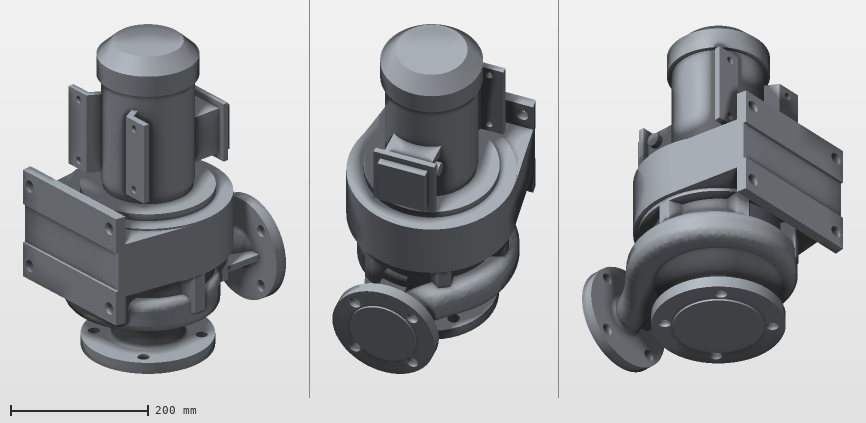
import cadquery as cq
import math

FACE_HEIGHT = 3.0
FLANGE_THICKNESS = 18.0
FLANGE_BOLT_COUNT = 4
FLANGE_BOLT_START = 45
FLANGE_BOLT_DIAMETER = 18.0
NECK_FILLET = 7.0

SUCTION_FLANGE_RADIUS = 98.5
SUCTION_FACE_RADIUS = 67.0
SUCTION_BOLT_RADIUS = 79.0
SUCTION_NECK_RADIUS = 53.5
SUCTION_NECK_TOP = 47.0
CONE_BOTTOM = 54.0
CONE_BOTTOM_RADIUS = 58.0
CONE_TOP_RADIUS = 94.0

DISCHARGE_FLANGE_RADIUS = 80.0
DISCHARGE_FACE_RADIUS = 51.5
DISCHARGE_BOLT_RADIUS = 63.5
DISCHARGE_FACE_Y = 199.5
DISCHARGE_COLLAR_X = -4.0

VOLUTE_MID_Z = 101.0
VOLUTE_HEIGHT = 51.5
VOLUTE_WIDTH = 51.5
VOLUTE_START_RADIUS = 101.5
VOLUTE_GROWTH = 9.5
SPIRAL_TURN = 315
SPIRAL_STEP = 45
BEND_TURN = 30
PIPE_END_DEPTH = 6.0
CORNER_START = 9.5
CORNER_END = 24.0
HUB_RADIUS = 85.0

WEB_EDGE_X = 40.5
WEB_THICKNESS = 10.0
WEB_OVERLAP = 80.0

LANTERN_RADIUS = 124.8
LANTERN_BOTTOM = 165.0
LANTERN_TOP = 253.5
RING_RADIUS = 118.0
RING_BOTTOM = 159.5
CORE_RADIUS = 98.0
RIB_COUNT = 6
RIB_TIP_WIDTH = 18.5
RIB_ROOT_WIDTH = 34.5

FOOT_TAPER = 8.0
FOOT_TOP = 250.5
FOOT_Y = -150.0
FOOT_PLATE_THICKNESS = 16.0
FOOT_PLATE_BOTTOM = 122.0
FOOT_PLATE_TOP = 296.0
FOOT_RECESS_BOTTOM = 177.0
FOOT_RECESS_TOP = 240.0
FOOT_RECESS_DEPTH = 4.5
FOOT_HOLE_DIAMETER = 19.0
FOOT_HOLE_X = 90.0
FOOT_HOLE_HEIGHTS = (144.0, 274.5)

MOTOR_TOP = 499.0
MOTOR_FLANGE_RADIUS = 99.5
MOTOR_FLANGE_TOP = 264.5
MOTOR_NECK_RADIUS = 66.5
MOTOR_BODY_BOTTOM = 275.0
MOTOR_BODY_RADIUS = 68.5
COWL_BOTTOM = 444.5
COWL_SHOULDER = 477.5
COWL_RADIUS = 75.5
COWL_TOP_RADIUS = 52.5

BOX_WIDTH = 74.0
BOX_BOTTOM = 295.0
BOX_HEIGHT = 73.0
BOX_Y = 124.8
LID_OVERHANG = 10.5
LID_BACK_Y = 105.0
LID_THICKNESS = 8.5
PLUG_RADIUS = 10.5
PLUG_LENGTH = 10.0
PLUG_Y = 87.0
PLUG_Z = 350.0

LEG_BOTTOM = 291.0
LEG_TOP = 417.5
LEG_OUTER_X = 85.0
LEG_BEND_X = 45.0
LEG_FRONT_Y = -80.0
LEG_THICKNESS = 9.5
LEG_WEB_ANGLE = 60.0
LEG_WEB_LENGTH = 35.0
LEG_HOLE_DIAMETER = 11.5
LEG_HOLE_X = 62.5
LEG_HOLE_HEIGHTS = (305.0, 404.0)

VOLUTE_BOTTOM = VOLUTE_MID_Z - VOLUTE_HEIGHT / 2
VOLUTE_TOP = VOLUTE_MID_Z + VOLUTE_HEIGHT / 2
FLANGE_BACK = FACE_HEIGHT + FLANGE_THICKNESS
DISCHARGE_BACK_Y = DISCHARGE_FACE_Y - FLANGE_BACK
FOOT_PLATE_BACK_Y = FOOT_Y + FOOT_PLATE_THICKNESS


def disc(radius, bottom, top):
    return cq.Workplane("XY").workplane(offset=bottom).circle(radius).extrude(top - bottom)


def block(x_range, y_range, z_range):
    (x0, x1), (y0, y1), (z0, z1) = x_range, y_range, z_range
    return cq.Workplane("XY").box(x1 - x0, y1 - y0, z1 - z0, centered=False).translate((x0, y0, z0))


def pipe_flange(flange_radius, face_radius, bolt_radius):
    """Drilled flange on the Z axis with its sealing face down on Z = 0."""
    bolts = (
        cq.Workplane("XY")
        .polarArray(bolt_radius, FLANGE_BOLT_START, 360, FLANGE_BOLT_COUNT)
        .circle(FLANGE_BOLT_DIAMETER / 2)
        .extrude(FLANGE_BACK)
    )
    return (
        disc(face_radius, 0, FACE_HEIGHT)
        .union(disc(flange_radius, FACE_HEIGHT, FLANGE_BACK))
        .cut(bolts)
    )


def neck_collar(neck_radius):
    """Collar whose concave fillet leads from the back of a flange up to its neck."""
    centre_x = neck_radius + NECK_FILLET
    fillet_top = FLANGE_BACK + NECK_FILLET
    diagonal = NECK_FILLET * math.sqrt(0.5)
    return (
        cq.Workplane("XZ")
        .moveTo(0, FLANGE_BACK)
        .lineTo(centre_x, FLANGE_BACK)
        .threePointArc((centre_x - diagonal, fillet_top - diagonal), (neck_radius, fillet_top))
        .lineTo(0, fillet_top)
        .close()
        .revolve(360, (0, 0, 0), (0, 1, 0))
    )


def suction_inlet():
    """Suction flange, its neck and the cone that opens into the volute."""
    neck_and_cone = (
        cq.Workplane("XZ")
        .moveTo(0, FLANGE_BACK)
        .lineTo(SUCTION_NECK_RADIUS, FLANGE_BACK)
        .lineTo(SUCTION_NECK_RADIUS, SUCTION_NECK_TOP)
        .tangentArcPoint((CONE_BOTTOM_RADIUS, CONE_BOTTOM), relative=False)
        .lineTo(CONE_TOP_RADIUS, VOLUTE_BOTTOM)
        .lineTo(0, VOLUTE_BOTTOM)
        .close()
        .revolve(360, (0, 0, 0), (0, 1, 0))
    )
    return (
        pipe_flange(SUCTION_FLANGE_RADIUS, SUCTION_FACE_RADIUS, SUCTION_BOLT_RADIUS)
        .union(neck_collar(SUCTION_NECK_RADIUS))
        .union(neck_and_cone)
    )


def passage_stations():
    """Centre point and outward angle (degrees) of each passage section, from tongue to outlet."""
    stations = []
    for turn in range(0, SPIRAL_TURN + 1, SPIRAL_STEP):
        angle = 90 - turn
        radius = VOLUTE_START_RADIUS + VOLUTE_GROWTH * turn / 90 - VOLUTE_WIDTH / 2
        x = radius * math.cos(math.radians(angle))
        y = radius * math.sin(math.radians(angle))
        stations.append((x, y, angle))

    end_y = DISCHARGE_BACK_Y + PIPE_END_DEPTH
    end_angle = angle + BEND_TURN
    bend_middle = angle + BEND_TURN / 2
    chord_x = math.sin(math.radians(bend_middle))
    chord_y = -math.cos(math.radians(bend_middle))
    out_x = math.cos(math.radians(angle))
    out_y = math.sin(math.radians(angle))
    chord = ((end_y - y) * out_y - x * out_x) / (chord_x * out_x + chord_y * out_y)
    bend_radius = chord / (2 * math.sin(math.radians(BEND_TURN / 2)))
    centre_x = bend_radius * math.cos(math.radians(end_angle))
    centre_y = end_y + bend_radius * math.sin(math.radians(end_angle))
    for bend_angle in (angle, bend_middle, end_angle):
        x = centre_x - bend_radius * math.cos(math.radians(bend_angle))
        y = centre_y - bend_radius * math.sin(math.radians(bend_angle))
        stations.append((x, y, bend_angle))
    return stations


def passage_section(station, corner_radius):
    """Upright rounded rectangle facing along the flow."""
    x, y, angle = station
    outward = (math.cos(math.radians(angle)), math.sin(math.radians(angle)), 0)
    flow = (outward[1], -outward[0], 0)
    plane = cq.Plane(origin=(x, y, VOLUTE_MID_Z), xDir=outward, normal=flow)
    section = cq.Sketch().rect(VOLUTE_WIDTH, VOLUTE_HEIGHT).vertices().fillet(corner_radius)
    return section.moved(plane.location)


def volute():
    """Spiral passage running clockwise into the outlet pipe, with its hub disc."""
    stations = passage_stations()
    corner_step = (CORNER_END - CORNER_START) / (len(stations) - 1)
    sections = [
        passage_section(station, CORNER_START + corner_step * index)
        for index, station in enumerate(stations)
    ]
    pipe_start = SPIRAL_TURN // SPIRAL_STEP
    bend_start = pipe_start + 1
    stretches = (
        sections[: pipe_start + 1],
        sections[pipe_start : bend_start + 1],
        sections[bend_start:],
    )
    casing = disc(HUB_RADIUS, VOLUTE_BOTTOM, VOLUTE_TOP)
    for stretch in stretches:
        casing = casing.union(cq.Workplane("XY").placeSketch(*stretch).loft())
    return casing


def discharge_outlet():
    """Discharge flange facing +Y and the flat web that stiffens the pipe behind it."""
    flange = (
        pipe_flange(DISCHARGE_FLANGE_RADIUS, DISCHARGE_FACE_RADIUS, DISCHARGE_BOLT_RADIUS)
        .union(neck_collar(VOLUTE_HEIGHT / 2).translate((DISCHARGE_COLLAR_X, 0, 0)))
        .rotate((0, 0, 0), (1, 0, 0), 90)
        .translate((0, DISCHARGE_FACE_Y, VOLUTE_MID_Z))
    )
    web = block(
        (0, WEB_EDGE_X),
        (LANTERN_RADIUS - WEB_OVERLAP, DISCHARGE_BACK_Y),
        (VOLUTE_MID_Z - WEB_THICKNESS / 2, VOLUTE_MID_Z + WEB_THICKNESS / 2),
    )
    return flange.union(web)


def lantern():
    """Drum, stepped ring and core that join the volute to the motor, with ribs under the ring."""
    body = (
        disc(LANTERN_RADIUS, LANTERN_BOTTOM, LANTERN_TOP)
        .union(disc(RING_RADIUS, RING_BOTTOM, LANTERN_BOTTOM))
        .union(disc(CORE_RADIUS, VOLUTE_MID_Z, RING_BOTTOM))
    )
    tip_x = math.sqrt(RING_RADIUS**2 - (RIB_TIP_WIDTH / 2) ** 2)
    root_x = math.sqrt(CORE_RADIUS**2 - (RIB_ROOT_WIDTH / 2) ** 2)
    rib = (
        cq.Workplane("XY")
        .workplane(offset=VOLUTE_MID_Z)
        .moveTo(root_x, -RIB_ROOT_WIDTH / 2)
        .lineTo(tip_x, -RIB_TIP_WIDTH / 2)
        .threePointArc((RING_RADIUS, 0), (tip_x, RIB_TIP_WIDTH / 2))
        .lineTo(root_x, RIB_ROOT_WIDTH / 2)
        .close()
        .extrude(RING_BOTTOM - VOLUTE_MID_Z)
    )
    for index in range(RIB_COUNT):
        body = body.union(rib.rotate((0, 0, 0), (0, 0, 1), index * 360 / RIB_COUNT))
    return body


def mounting_foot():
    """Tapered block tangent to the lantern, ending in a drilled plate with a cross recess."""
    taper = math.radians(FOOT_TAPER)
    tangent_x = LANTERN_RADIUS * math.cos(taper)
    tangent_y = -LANTERN_RADIUS * math.sin(taper)
    end_x = tangent_x - (tangent_y - FOOT_Y) * math.tan(taper)
    outline = (
        cq.Workplane("XY")
        .moveTo(-tangent_x, tangent_y)
        .lineTo(tangent_x, tangent_y)
        .lineTo(end_x, FOOT_Y)
        .lineTo(-end_x, FOOT_Y)
        .close()
    )
    full_height = outline.extrude(FOOT_PLATE_TOP - FOOT_PLATE_BOTTOM).translate((0, 0, FOOT_PLATE_BOTTOM))
    x_range = (-LANTERN_RADIUS, LANTERN_RADIUS)
    plate_zone = block(x_range, (FOOT_Y, FOOT_PLATE_BACK_Y), (FOOT_PLATE_BOTTOM, FOOT_PLATE_TOP))
    block_zone = block(x_range, (FOOT_Y, 0), (LANTERN_BOTTOM, FOOT_TOP))
    recess = block(x_range, (FOOT_Y, FOOT_Y + FOOT_RECESS_DEPTH), (FOOT_RECESS_BOTTOM, FOOT_RECESS_TOP))
    holes = (
        cq.Workplane("XZ", origin=(0, FOOT_Y, 0))
        .pushPoints([(x, z) for x in (-FOOT_HOLE_X, FOOT_HOLE_X) for z in FOOT_HOLE_HEIGHTS])
        .circle(FOOT_HOLE_DIAMETER / 2)
        .extrude(-FOOT_PLATE_THICKNESS)
    )
    return full_height.intersect(plate_zone.union(block_zone)).cut(recess).cut(holes)


def make_pump():
    return (
        volute()
        .union(suction_inlet())
        .union(discharge_outlet())
        .union(lantern())
        .union(mounting_foot())
    )


def motor_barrel():
    """Turned motor body: mounting flange, neck, barrel and chamfered fan cowl."""
    cowl = disc(COWL_RADIUS, COWL_BOTTOM, MOTOR_TOP)
    cowl = cowl.faces(">Z").chamfer(MOTOR_TOP - COWL_SHOULDER, COWL_RADIUS - COWL_TOP_RADIUS)
    return (
        disc(MOTOR_FLANGE_RADIUS, LANTERN_TOP, MOTOR_FLANGE_TOP)
        .union(disc(MOTOR_NECK_RADIUS, MOTOR_FLANGE_TOP, MOTOR_BODY_BOTTOM))
        .union(disc(MOTOR_BODY_RADIUS, MOTOR_BODY_BOTTOM, COWL_BOTTOM))
        .union(cowl)
    )


def terminal_box():
    """Box on the +Y side with an overhanging lid plate and a cable plug on -X."""
    half_width = BOX_WIDTH / 2
    lid_half_width = half_width + LID_OVERHANG
    box_top = BOX_BOTTOM + BOX_HEIGHT
    box = block((-half_width, half_width), (0, BOX_Y), (BOX_BOTTOM, box_top))
    lid = block(
        (-lid_half_width, lid_half_width),
        (LID_BACK_Y, LID_BACK_Y + LID_THICKNESS),
        (BOX_BOTTOM - LID_OVERHANG, box_top + LID_OVERHANG),
    )
    plug = (
        cq.Workplane("YZ", origin=(-half_width, PLUG_Y, PLUG_Z))
        .circle(PLUG_RADIUS)
        .extrude(-PLUG_LENGTH)
    )
    return box.union(lid).union(plug)


def motor_legs():
    """Pair of bent plates, mirror images across the YZ plane, each with two holes."""
    angle = math.radians(LEG_WEB_ANGLE)
    reach_x = LEG_WEB_LENGTH * math.cos(angle)
    reach_y = LEG_WEB_LENGTH * math.sin(angle)
    back_y = LEG_FRONT_Y + LEG_THICKNESS
    back_bend_x = LEG_BEND_X + LEG_THICKNESS * math.tan(angle / 2)
    leg = (
        cq.Workplane("XY")
        .workplane(offset=LEG_BOTTOM)
        .moveTo(LEG_OUTER_X, LEG_FRONT_Y)
        .lineTo(LEG_BEND_X, LEG_FRONT_Y)
        .lineTo(LEG_BEND_X - reach_x, LEG_FRONT_Y + reach_y)
        .lineTo(back_bend_x - reach_x, back_y + reach_y)
        .lineTo(back_bend_x, back_y)
        .lineTo(LEG_OUTER_X, back_y)
        .close()
        .extrude(LEG_TOP - LEG_BOTTOM)
    )
    holes = (
        cq.Workplane("XZ", origin=(0, LEG_FRONT_Y, 0))
        .pushPoints([(LEG_HOLE_X, z) for z in LEG_HOLE_HEIGHTS])
        .circle(LEG_HOLE_DIAMETER / 2)
        .extrude(-LEG_THICKNESS)
    )
    leg = leg.cut(holes)
    return leg.union(leg.mirror("YZ"))


def make_motor():
    return motor_barrel().union(terminal_box()).union(motor_legs())


pump = make_pump()
motor = make_motor()

result = cq.Compound.makeCompound([pump.solids().val(), motor.solids().val()])